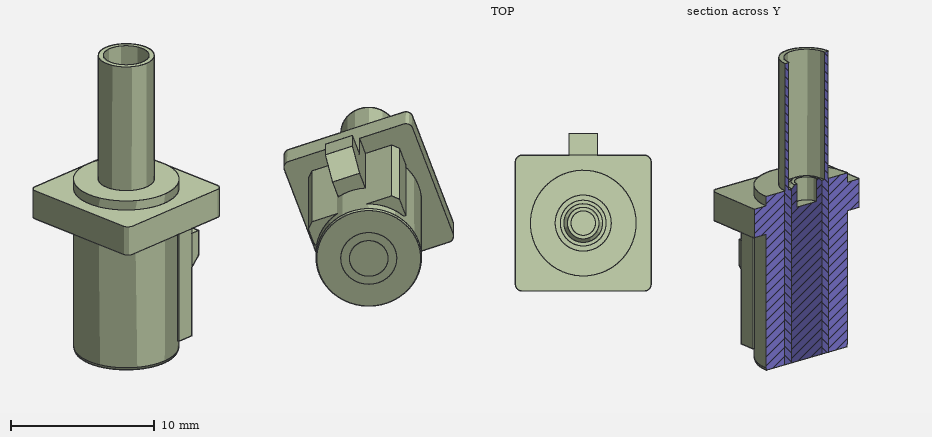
import cadquery as cq

total_height = 22.5
flange_bottom = 10.15
flange_top = 12.3
collar_top = 13.0

flange_side = 9.5
flange_corner_radius = 0.5
barrel_radius = 3.7
barrel_chamfer_height = 0.2
barrel_chamfer_width = 0.07

latch_width = 2.0
latch_reach = 6.25
latch_neck_reach = flange_side / 2
latch_bottom = 3.9
latch_catch_top = 7.31
latch_ramp = latch_reach - latch_neck_reach

rib_half_span = 3.38
rib_front = 1.8
rib_back = 3.53
rib_bevel = 0.43
rib_bottom = 1.01

tube_radius = 1.95
bore_radius = 1.6
bore_floor = collar_top

insulator_radius = 1.35
insulator_chamfer = 0.25
insulator_top = bore_floor + insulator_chamfer
socket_radius = 0.85
socket_depth = 2 * socket_radius


def cylinder(radius, bottom, top):
    return cq.Workplane("XY").workplane(offset=bottom).circle(radius).extrude(top - bottom)


def make_barrel():
    """Round barrel and collar in one cylinder, chamfered at the mating end."""
    barrel = cylinder(barrel_radius, 0, collar_top)
    return barrel.faces("<Z").edges().chamfer(barrel_chamfer_height, barrel_chamfer_width)


def make_flange():
    flange = cq.Workplane("XY").workplane(offset=flange_bottom).rect(flange_side, flange_side)
    return flange.extrude(flange_top - flange_bottom).edges("|Z").fillet(flange_corner_radius)


def make_latch():
    """Hooked latch: a neck below the flange with a ramped catch."""
    profile = [
        (0, flange_bottom),
        (latch_neck_reach, flange_bottom),
        (latch_neck_reach, latch_catch_top),
        (latch_reach, latch_catch_top),
        (latch_reach, latch_bottom + latch_ramp),
        (latch_neck_reach, latch_bottom),
        (0, latch_bottom),
    ]
    return cq.Workplane("YZ").polyline(profile).close().extrude(latch_width / 2, both=True)


def make_ribs():
    """Bar across the barrel whose two bevelled ends form the coding ribs."""
    bar = (
        cq.Workplane("XY")
        .workplane(offset=rib_bottom)
        .center(0, (rib_front + rib_back) / 2)
        .rect(2 * rib_half_span, rib_back - rib_front)
        .extrude(flange_bottom - rib_bottom)
    )
    return bar.edges("|Z and >Y").chamfer(rib_bevel)


def make_housing():
    housing = make_barrel().union(make_flange()).union(make_latch()).union(make_ribs())
    return housing.cut(cylinder(tube_radius, 0, collar_top))


def make_crimp_tube():
    """Tube through the housing: open crimp bore above, insulator hole below."""
    tube = cylinder(tube_radius, 0, total_height)
    tube = tube.cut(cylinder(bore_radius, bore_floor, total_height))
    return tube.cut(cylinder(insulator_radius, 0, bore_floor))


def make_insulator():
    """Core with a chamfered top end and a blind socket in its centre."""
    core = cylinder(insulator_radius, 0, insulator_top)
    core = core.faces(">Z").edges().chamfer(insulator_chamfer)
    return core.cut(cylinder(socket_radius, insulator_top - socket_depth, insulator_top))


housing = make_housing()
crimp_tube = make_crimp_tube()
insulator = make_insulator()

result = cq.Compound.makeCompound([housing.val(), crimp_tube.val(), insulator.val()])